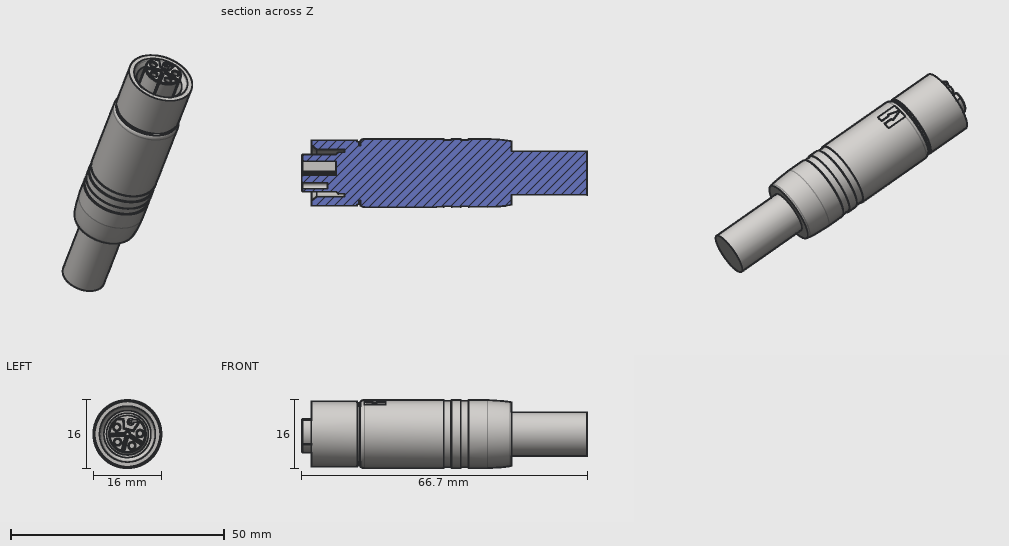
import cadquery as cq
import math


TOTAL_LENGTH = 66.72
BODY_RADIUS = 8.0
CABLE_RADIUS = 5.15

COLLAR_START = 2.25
COLLAR_END = 12.95
COLLAR_RADIUS = 7.7
COLLAR_LIP_END = 13.4
COLLAR_LIP_RADIUS = 7.35
NECK_RADIUS = 6.4

MOUTH_RADIUS = 6.55
MOUTH_BEVEL = 0.25
BORE_RADIUS = 5.5
MOUTH_CONE_LENGTH = 1.0
CAVITY_FLOOR = 10.0

BODY_START = 13.7
BODY_SHOULDER = 14.65
BODY_FRONT_RADIUS = 7.6
GROOVE_STARTS = (33.2, 37.2)
GROOVE_WIDTH = 1.9
GROOVE_RAMP = 0.2
GROOVE_DEPTH = 0.2
TAPER_START = 43.4
TAPER_RADIUS = 7.55
BODY_END = 49.1
END_CHAMFER_LENGTH = 0.45
END_CHAMFER_DEPTH = 0.15

NOSE_RADIUS = 4.37
NOSE_BASE_RADIUS = 4.9
NOSE_CONE_START = 8.0
NOSE_CONE_END = 8.5
NOSE_EDGE_CHAMFER = 0.25

Z_AXIS_ANGLE = 90.0
KEY_ANGLE = 105.0
CONTACT_COUNT = 5
CONTACT_PITCH = 360.0 / CONTACT_COUNT
CONTACT_CIRCLE_RADIUS = 2.95
CONTACT_HOLE_RADIUS = 0.7
CONTACT_MOUTH_RADIUS = 0.92
CONTACT_HOLE_DEPTH = 6.0

SLOT_WIDTH = 0.3
HUB_RADIUS = 0.45

KEYWAY_FLOOR = 1.2
KEYWAY_FLOOR_HALF_WIDTH = 1.05
KEYWAY_FLARE = 18.0
KEYWAY_FLAT_HEIGHT = 3.55

EARTH_PIN_TIP = 0.35
EARTH_PIN_RADIUS = 0.75
EARTH_PIN_HOLE_RADIUS = 0.3
WEB_OUTER_Y = -2.35
WEB_BOTTOM_Z = 2.75
WEB_TOP_Z = 3.3

PANEL_END = 19.6
PANEL_HEIGHT = 7.7
ARROW_HEAD_END = 17.5
ARROW_HEAD_HALF_WIDTH = 1.05
ARROW_SHAFT_HALF_WIDTH = 0.55


def on_circle(radius, angle):
    """(Y, Z) of a point at the given radius and angle about the X axis."""
    return (radius * math.cos(math.radians(angle)), radius * math.sin(math.radians(angle)))


def cross_section(x):
    """Workplane across the part at X, with local axes Y and Z."""
    return cq.Workplane("YZ", origin=(x, 0, 0))


def revolve_about_x(profile):
    """Full turn of a closed XY profile about the X axis."""
    return profile.close().revolve(360, (0, 0, 0), (1, 0, 0))


def tangent_arc_middle(start_x, end_x, drop):
    """Middle point of an arc that leaves the body cylinder tangentially and falls by the drop."""
    run = end_x - start_x
    arc_radius = (run**2 + drop**2) / (2 * drop)
    half_angle = math.atan2(drop, abs(run))
    middle_run = math.copysign(arc_radius * math.sin(half_angle), run)
    return (start_x + middle_run, BODY_RADIUS - arc_radius * (1 - math.cos(half_angle)))


def make_shell():
    """Collar, neck, grip body and cable as one solid of revolution."""
    shoulder_middle = tangent_arc_middle(BODY_SHOULDER, BODY_START, BODY_RADIUS - BODY_FRONT_RADIUS)
    groove_radius = BODY_RADIUS - GROOVE_DEPTH
    taper_end = BODY_END - END_CHAMFER_LENGTH
    taper_middle = tangent_arc_middle(TAPER_START, taper_end, BODY_RADIUS - TAPER_RADIUS)

    profile = (
        cq.Workplane("XY")
        .moveTo(COLLAR_START, 0)
        .lineTo(COLLAR_START, COLLAR_RADIUS)
        .lineTo(COLLAR_END, COLLAR_RADIUS)
        .lineTo(COLLAR_END, COLLAR_LIP_RADIUS)
        .lineTo(COLLAR_LIP_END, COLLAR_LIP_RADIUS)
        .lineTo(COLLAR_LIP_END, NECK_RADIUS)
        .lineTo(BODY_START, NECK_RADIUS)
        .lineTo(BODY_START, BODY_FRONT_RADIUS)
        .threePointArc(shoulder_middle, (BODY_SHOULDER, BODY_RADIUS))
    )
    for start in GROOVE_STARTS:
        ramp_start = start + GROOVE_WIDTH - GROOVE_RAMP
        profile = (
            profile.lineTo(start, BODY_RADIUS)
            .lineTo(start, groove_radius)
            .lineTo(ramp_start, groove_radius)
            .lineTo(start + GROOVE_WIDTH, BODY_RADIUS)
        )
    profile = (
        profile.lineTo(TAPER_START, BODY_RADIUS)
        .threePointArc(taper_middle, (taper_end, TAPER_RADIUS))
        .lineTo(BODY_END, TAPER_RADIUS - END_CHAMFER_DEPTH)
        .lineTo(BODY_END, CABLE_RADIUS)
        .lineTo(TOTAL_LENGTH, CABLE_RADIUS)
        .lineTo(TOTAL_LENGTH, 0)
    )
    return revolve_about_x(profile)


def make_cavity():
    """Bore of the collar with its bevelled, flared mouth."""
    return revolve_about_x(
        cq.Workplane("XY")
        .moveTo(COLLAR_START, 0)
        .lineTo(COLLAR_START, MOUTH_RADIUS)
        .lineTo(COLLAR_START + MOUTH_BEVEL, MOUTH_RADIUS - MOUTH_BEVEL)
        .lineTo(COLLAR_START + MOUTH_BEVEL + MOUTH_CONE_LENGTH, BORE_RADIUS)
        .lineTo(CAVITY_FLOOR, BORE_RADIUS)
        .lineTo(CAVITY_FLOOR, 0)
    )


def make_nose_blank():
    """Plain round nose with a conical step at its base."""
    return revolve_about_x(
        cq.Workplane("XY")
        .lineTo(0, NOSE_RADIUS)
        .lineTo(NOSE_CONE_START, NOSE_RADIUS)
        .lineTo(NOSE_CONE_END, NOSE_BASE_RADIUS)
        .lineTo(CAVITY_FLOOR, NOSE_BASE_RADIUS)
        .lineTo(CAVITY_FLOOR, 0)
    )


def make_keyway():
    """Flared keyway around the earth contact, with the flat on its +Y side."""
    reach = BODY_RADIUS
    mouth_half_width = KEYWAY_FLOOR_HALF_WIDTH + (reach - KEYWAY_FLOOR) * math.tan(math.radians(KEYWAY_FLARE))
    flared = (
        cross_section(0)
        .polyline([
            (KEYWAY_FLOOR, -KEYWAY_FLOOR_HALF_WIDTH),
            (reach, -mouth_half_width),
            (reach, mouth_half_width),
            (KEYWAY_FLOOR, KEYWAY_FLOOR_HALF_WIDTH),
        ])
        .close()
        .extrude(NOSE_CONE_START)
        .rotate((0, 0, 0), (1, 0, 0), KEY_ANGLE)
    )
    flat = (
        cross_section(0)
        .moveTo(-NOSE_RADIUS, KEYWAY_FLAT_HEIGHT)
        .rect(2 * NOSE_RADIUS, NOSE_RADIUS, centered=False)
        .extrude(NOSE_CONE_START)
    )
    return flared.union(flat)


def make_divider_slots():
    """Hub recess and the slots that divide the four power contacts."""
    slots = cross_section(0).circle(HUB_RADIUS).extrude(NOSE_CONE_START)
    for gap in range(1, CONTACT_COUNT - 1):
        slot = (
            cross_section(0)
            .moveTo(0, -SLOT_WIDTH / 2)
            .rect(BORE_RADIUS, SLOT_WIDTH, centered=False)
            .extrude(NOSE_CONE_START)
            .rotate((0, 0, 0), (1, 0, 0), KEY_ANGLE + (gap + 0.5) * CONTACT_PITCH)
        )
        slots = slots.union(slot)
    return slots


def make_earth_pin():
    """Tubular earth contact in the keyway and the web that ties it to the wall."""
    pin_y, pin_z = on_circle(CONTACT_CIRCLE_RADIUS, KEY_ANGLE)
    length = NOSE_CONE_END - EARTH_PIN_TIP
    web = (
        cross_section(EARTH_PIN_TIP)
        .moveTo(WEB_OUTER_Y, WEB_BOTTOM_Z)
        .rect(pin_y - WEB_OUTER_Y, WEB_TOP_Z - WEB_BOTTOM_Z, centered=False)
        .extrude(length)
    )
    pin = cross_section(EARTH_PIN_TIP).center(pin_y, pin_z).circle(EARTH_PIN_RADIUS).extrude(length)
    hole = (
        cross_section(EARTH_PIN_TIP)
        .center(pin_y, pin_z)
        .circle(EARTH_PIN_HOLE_RADIUS)
        .extrude(CONTACT_HOLE_DEPTH)
    )
    return pin.union(web).cut(hole)


def make_contact_hole(angle):
    """Blind contact hole with a countersunk mouth."""
    y, z = on_circle(CONTACT_CIRCLE_RADIUS, angle)
    lead_in = CONTACT_MOUTH_RADIUS - CONTACT_HOLE_RADIUS
    return revolve_about_x(
        cq.Workplane("XY")
        .lineTo(0, CONTACT_MOUTH_RADIUS)
        .lineTo(lead_in, CONTACT_HOLE_RADIUS)
        .lineTo(CONTACT_HOLE_DEPTH, CONTACT_HOLE_RADIUS)
        .lineTo(CONTACT_HOLE_DEPTH, 0)
    ).translate((0, y, z))


def make_nose():
    """Complete contact insert."""
    nose = make_nose_blank().cut(make_keyway()).cut(make_divider_slots())
    nose = nose.faces("<X").chamfer(NOSE_EDGE_CHAMFER)
    for index in range(1, CONTACT_COUNT):
        nose = nose.cut(make_contact_hole(KEY_ANGLE + index * CONTACT_PITCH))
    return nose.union(make_earth_pin())


def make_arrow_panel():
    """Material above the flat panel, leaving out the raised arrow."""
    panel_half_width = math.sqrt(BODY_RADIUS**2 - PANEL_HEIGHT**2)
    panel_plane = cq.Workplane("XY", origin=(0, 0, PANEL_HEIGHT))
    panel = (
        panel_plane.moveTo(BODY_SHOULDER, -panel_half_width)
        .rect(PANEL_END - BODY_SHOULDER, 2 * panel_half_width, centered=False)
        .extrude(BODY_RADIUS)
    )
    arrow = (
        panel_plane.polyline([
            (BODY_SHOULDER, 0),
            (ARROW_HEAD_END, -ARROW_HEAD_HALF_WIDTH),
            (ARROW_HEAD_END, -ARROW_SHAFT_HALF_WIDTH),
            (PANEL_END, -ARROW_SHAFT_HALF_WIDTH),
            (PANEL_END, ARROW_SHAFT_HALF_WIDTH),
            (ARROW_HEAD_END, ARROW_SHAFT_HALF_WIDTH),
            (ARROW_HEAD_END, ARROW_HEAD_HALF_WIDTH),
        ])
        .close()
        .extrude(BODY_RADIUS)
    )
    return panel.cut(arrow).rotate((0, 0, 0), (1, 0, 0), KEY_ANGLE - Z_AXIS_ANGLE)


result = make_shell().cut(make_cavity()).union(make_nose()).cut(make_arrow_panel())